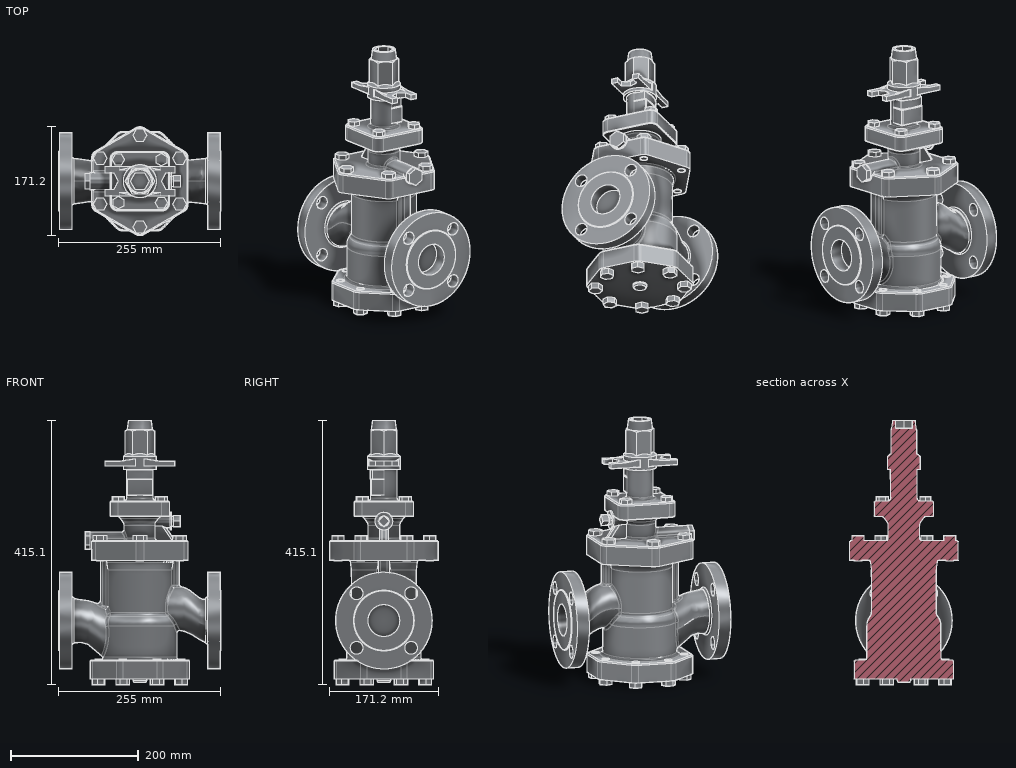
import cadquery as cq
import math


INLET_SIDE = -1
OUTLET_SIDE = 1
FACE_TO_FACE = 255.0
FLANGE_DIA = 152.0
FLANGE_THICKNESS = 21.0
FACE_DIA = 95.49
FACE_HEIGHT = 1.3
FACE_CHAMFER = 1.0
FLANGE_HOLE_DIA = 20.0
FLANGE_HOLE_COUNT = 4
FLANGE_PITCH_RADIUS = 60.5
BORE_DIA = 50.0
BORE_DEPTH = FLANGE_THICKNESS
FLANGE_BACK_X = FACE_TO_FACE / 2 - FLANGE_THICKNESS
PORT_ROOT_RADIUS = 3.5
INLET_SEAM_FILLET = 5.0
OUTLET_SEAM_FILLET = 4.0
PORT_SEAM_REACH = 8.0
INLET_SECTIONS = [
    (FLANGE_BACK_X, 0.5, 36.0, 35.5),
    (95.0, -0.7, 35.0, 34.0),
    (82.0, -3.0, 33.0, 34.5),
    (68.0, -11.0, 31.0, 38.0),
    (52.0, -19.5, 30.0, 39.5),
    (30.0, -19.0, 26.0, 34.0),
]
OUTLET_SECTIONS = [
    (FLANGE_BACK_X, -0.5, 36.0, 35.5),
    (95.0, 2.0, 35.0, 33.0),
    (85.0, 9.0, 34.0, 33.5),
    (72.0, 16.5, 33.0, 34.5),
    (57.0, 19.5, 32.0, 34.5),
    (30.0, 20.0, 28.0, 32.0),
]

COVER_BOTTOM_Z = -92.0
COVER_TOP_Z = -61.6
COVER_ACROSS_FLATS = 156.5
COVER_SIDES = 8
COVER_CORNER_RADIUS = 14.0
COVER_PITCH_RADIUS = 70.0
COVER_BOLT_ANGLE = 22.5
BOLT_ACROSS_FLATS = 19.0
COVER_BOLT_HEIGHT = 9.0
STUD_DIA = 12.0
STUD_HEIGHT = 1.0
PLUG_TOP_RADIUS = 11.0
PLUG_BOTTOM_RADIUS = 9.5
PLUG_HEIGHT = 5.0
PLUG_RIM_HEIGHT = 2.0

PART_OVERLAP = 5.0
LOWER_BODY_RADIUS = 58.3
UPPER_BODY_RADIUS = 51.2
BODY_TOP_RADIUS = 52.7
LOWER_FOOT_Z = -57.5
SHOULDER_BOTTOM_Z = -8.4
SHOULDER_TOP_Z = 13.0
SHOULDER_CREST = (56.3, 1.8)
SHOULDER_JOIN = (53.4, 6.6)
SHOULDER_HOLLOW = (51.8, 9.2)
BODY_FLARE_Z = 79.4
BODY_HEAD_Z = 91.5
BODY_HEAD_FILLET = 3.0
CHANNEL_OUTER_X = 62.0
CHANNEL_INNER_X = 35.0
CHANNEL_WIDTH = 17.5
CHANNEL_EDGE_RADIUS = 3.7
CHANNEL_ROOT_FILLET = 3.5
INLET_CHANNEL_BOTTOM_Z = 10.0
OUTLET_CHANNEL_BOTTOM_Z = 40.0

HEAD_BOTTOM_Z = 94.4
HEAD_TOP_Z = 125.8
HEAD_ACROSS_FLATS = 151.5
HEAD_WIDTH_Y = 171.16
HEAD_SIDES = 6
HEAD_BOLT_ANGLE = 30.0
HEX_CORNER_RATIO = 1 / math.cos(math.pi / 6)
HEAD_CORNER_RADIUS = (HEAD_ACROSS_FLATS * HEX_CORNER_RATIO - HEAD_WIDTH_Y) / 2 / (HEX_CORNER_RATIO - 1)
HEAD_PITCH_RADIUS = 72.0
HEAD_BOLT_HEIGHT = 7.4
PLATE_CHAMFER = 2.0

NECK_RADIUS = 25.0
NECK_FOOT_FILLET = 3.4
NECK_FLARE_Z = 149.0
NECK_FLARE_MIDDLE = (25.5, 152.0)
NECK_FLARE_END_RADIUS = 27.0
NECK_FLARE_END_Z = 154.8
NECK_STEP_RADIUS = 30.8
NECK_STEP_Z = 160.2
NECK_TOP_RADIUS = 33.5

PAD_BOTTOM_Z = 163.1
PAD_TOP_Z = 187.9
PAD_SIZE = 93.5
PAD_CORNER_RADIUS = 12.5
PAD_BOLT_OFFSET = 33.75
PAD_BOLT_ACROSS_FLATS = 17.0
PAD_BOLT_HEIGHT = 6.7

TUBE_DIA = 27.0
TUBE_AXIS_Z = 125.5
TUBE_END_X = -78.0
TUBE_FILLET = 4.0
TUBE_HEAD_ACROSS_FLATS = 24.2
TUBE_HEAD_LENGTH = 7.8
BOSS_AXIS_Z = 156.0
BOSS_RADIUS = 10.5
BOSS_END_X = 49.5
COLLAR_DIA = 28.0
COLLAR_LENGTH = 2.5
PLUG_NECK_RADIUS = 8.0
PLUG_SQUARE_DIAGONAL = 17.8
PLUG_SQUARE_X = 52.5
PLUG_END_X = 63.7
WEB_WIDTH = 14.0
WEB_FOOT_X = 55.0
WEB_TOP_X = 34.5
WEB_EDGE_CHAMFER = 3.7

COLUMN_DIA = 42.0
COLUMN_FOOT_FILLET = 4.5
BLOCK_DEPTH = 21.0
BLOCK_BOTTOM_Z = 196.0
BLOCK_TOP_Z = 222.5
BLOCK_EDGE_CHAMFER = 1.3
BAND_TOP_Z = 236.0
BAND_CORNER_DEPTH = 18.0
BAND_CROWN_DEPTH = 21.5
HUB_BOTTOM_Z = 237.0
HUB_RADIUS = 26.0
HUB_RIM_Z = 257.6
HEX_ACROSS_CORNERS = 46.94
HEX_ACROSS_FLATS = HEX_ACROSS_CORNERS / HEX_CORNER_RATIO
HEX_BOTTOM_Z = 262.2
HEX_TOP_Z = 299.5
HEX_END_DROP = 2.0
TIP_BOTTOM_RADIUS = 20.0
TIP_TOP_RADIUS = 18.0
TIP_TOP_Z = 314.1
SOCKET_ACROSS_FLATS = 26.0
SOCKET_DEPTH = 12.0

HANDLE_HALF_LENGTH = 54.8
HANDLE_HALF_WIDTH = 23.2
HANDLE_BOTTOM_Z = 242.2
HANDLE_TOP_Z = 250.2
HANDLE_GAP = 13.6
NOTCH_HALF_WIDTH = 12.9
NOTCH_SHOULDER_X = 40.6
NOTCH_TIP_X = 34.0
GUSSET_END_X = 32.0
GUSSET_WIDTH = 5.5
GUSSET_HEIGHT = 3.6


def polygon_prism(across_flats, sides, bottom_z, height, turn=0.0):
    """Upright regular prism; with turn = 0 one corner points along +X."""
    across_corners = across_flats / math.cos(math.pi / sides)
    prism = cq.Workplane("XY").polygon(sides, across_corners).extrude(height)
    return prism.rotate((0, 0, 0), (0, 0, 1), turn).translate((0, 0, bottom_z))


def disc(radius, bottom_z, top_z):
    return cq.Workplane("XY", origin=(0, 0, bottom_z)).circle(radius).extrude(top_z - bottom_z)


def rod_x(radius, start_x, end_x, axis_z):
    return cq.Workplane("YZ", origin=(start_x, 0, axis_z)).circle(radius).extrude(end_x - start_x)


def ring_points(radius, count, first_angle):
    angles = [math.radians(first_angle + i * 360 / count) for i in range(count)]
    return [(radius * math.cos(a), radius * math.sin(a)) for a in angles]


def bolt_ring(pitch_radius, count, first_angle, across_flats, bottom_z, height, turn):
    """Ring of hexagon heads, each one turned along with its place on the ring."""
    heads = cq.Workplane("XY")
    for i in range(count):
        head = polygon_prism(across_flats, 6, bottom_z, height, turn)
        head = head.translate((pitch_radius, 0, 0))
        heads = heads.add(head.rotate((0, 0, 0), (0, 0, 1), first_angle + i * 360 / count))
    return heads.combine()


def stud_ends(pitch_radius, count, first_angle, bottom_z):
    points = ring_points(pitch_radius, count, first_angle)
    plane = cq.Workplane("XY", origin=(0, 0, bottom_z))
    return plane.pushPoints(points).circle(STUD_DIA / 2).extrude(STUD_HEIGHT)


def pipe_flange(side):
    """Pipe flange with raised face; side is the sign of its X position."""
    face_x = side * FACE_TO_FACE / 2
    rim_x = side * (FACE_TO_FACE / 2 - FACE_HEIGHT)
    flange = rod_x(FLANGE_DIA / 2, side * FLANGE_BACK_X, rim_x, 0)
    raised_face = rod_x(FACE_DIA / 2, side * FLANGE_BACK_X, face_x, 0)
    face_side = ">X" if side > 0 else "<X"
    flange = flange.union(raised_face.faces(face_side).edges().chamfer(FACE_CHAMFER))
    for y, z in ring_points(FLANGE_PITCH_RADIUS, FLANGE_HOLE_COUNT, 45):
        hole = rod_x(FLANGE_HOLE_DIA / 2, side * FLANGE_BACK_X, face_x, z)
        flange = flange.cut(hole.translate((0, y, 0)))
    return flange


def port(side, sections):
    """Bent nozzle that runs through a row of elliptical sections."""
    wires = [
        cq.Wire.makeEllipse(half_y, half_z, cq.Vector(side * x, 0, z), cq.Vector(1, 0, 0), cq.Vector(0, 1, 0))
        for x, z, half_y, half_z in sections
    ]
    return cq.Workplane(cq.Solid.makeLoft(wires))


def port_root(side, section):
    """Conical collar where a nozzle leaves its flange."""
    x, z, half_y, half_z = section
    collar = cq.Solid.makeCone(
        half_y + PORT_ROOT_RADIUS / 2,
        half_z,
        PORT_ROOT_RADIUS,
        cq.Vector(side * x, 0, 0),
        cq.Vector(-side, 0, 0),
    )
    return cq.Workplane(collar)


def body_barrel():
    """Turned body: wide lower barrel, rounded shoulder and slimmer upper barrel."""
    head_radius = BODY_TOP_RADIUS + BODY_HEAD_FILLET
    profile = (
        cq.Workplane("YZ")
        .moveTo(0, COVER_TOP_Z - PART_OVERLAP)
        .lineTo(LOWER_BODY_RADIUS, COVER_TOP_Z - PART_OVERLAP)
        .lineTo(LOWER_BODY_RADIUS, SHOULDER_BOTTOM_Z)
        .threePointArc(SHOULDER_CREST, SHOULDER_JOIN)
        .threePointArc(SHOULDER_HOLLOW, (UPPER_BODY_RADIUS, SHOULDER_TOP_Z))
        .lineTo(UPPER_BODY_RADIUS, BODY_FLARE_Z)
        .lineTo(BODY_TOP_RADIUS, BODY_HEAD_Z)
        .radiusArc((head_radius, HEAD_BOTTOM_Z), BODY_HEAD_FILLET)
        .lineTo(head_radius, HEAD_BOTTOM_Z + PART_OVERLAP)
        .lineTo(0, HEAD_BOTTOM_Z + PART_OVERLAP)
        .close()
    )
    return profile.revolve(360, (0, 0), (0, 1))


def body_foot():
    """Filleted foot where the lower barrel stands on the bottom cover."""
    fillet = LOWER_FOOT_Z - COVER_TOP_Z
    foot_radius = LOWER_BODY_RADIUS + fillet
    profile = (
        cq.Workplane("YZ")
        .moveTo(0, COVER_TOP_Z - PART_OVERLAP)
        .lineTo(foot_radius, COVER_TOP_Z - PART_OVERLAP)
        .lineTo(foot_radius, COVER_TOP_Z)
        .radiusArc((LOWER_BODY_RADIUS, LOWER_FOOT_Z), fillet)
        .lineTo(0, LOWER_FOOT_Z)
        .close()
    )
    return profile.revolve(360, (0, 0), (0, 1))


def body_with_channels():
    """Barrel with both channels, filleted along their roots."""
    barrel = body_barrel()
    barrel = barrel.union(channel(INLET_SIDE, INLET_CHANNEL_BOTTOM_Z))
    barrel = barrel.union(channel(OUTLET_SIDE, OUTLET_CHANNEL_BOTTOM_Z))
    for root_x in (-UPPER_BODY_RADIUS, UPPER_BODY_RADIUS):
        root_box = cq.selectors.BoxSelector(
            (root_x - CHANNEL_EDGE_RADIUS, -CHANNEL_WIDTH, 0),
            (root_x + CHANNEL_EDGE_RADIUS, CHANNEL_WIDTH, BODY_FLARE_Z),
        )
        barrel = barrel.edges("|Z").edges(root_box).fillet(CHANNEL_ROOT_FILLET)
    return barrel


def add_port(barrel, side, sections, seam_fillet):
    """Join a nozzle to the barrel and fillet the curve where they meet."""
    joined = barrel.union(port(side, sections))
    inner_x = side * sections[-1][0]
    outer_x = side * (LOWER_BODY_RADIUS + PORT_SEAM_REACH)
    seam_box = cq.selectors.BoxSelector(
        (inner_x, -LOWER_BODY_RADIUS, COVER_TOP_Z), (outer_x, LOWER_BODY_RADIUS, BODY_FLARE_Z)
    )
    return joined.edges("%BSPLINE").edges(seam_box).fillet(seam_fillet)


def channel(side, bottom_z):
    """Upright pressure channel on the flank of the upper barrel."""
    height = HEAD_BOTTOM_Z + PART_OVERLAP - bottom_z
    plan = cq.Workplane("XY", origin=(CHANNEL_INNER_X, 0, 0))
    block = plan.box(CHANNEL_OUTER_X - CHANNEL_INNER_X, CHANNEL_WIDTH, height, centered=(False, True, False))
    block = block.edges("|Z and >X").fillet(CHANNEL_EDGE_RADIUS)
    if side < 0:
        block = block.rotate((0, 0, 0), (0, 0, 1), 180)
    return block.translate((0, 0, bottom_z))


def bottom_cover():
    plate = polygon_prism(
        COVER_ACROSS_FLATS, COVER_SIDES, COVER_BOTTOM_Z, COVER_TOP_Z - COVER_BOTTOM_Z, COVER_BOLT_ANGLE
    )
    plate = plate.edges("|Z").fillet(COVER_CORNER_RADIUS)
    plate = plate.faces(">Z").edges().chamfer(PLATE_CHAMFER)
    plug_rim_z = COVER_BOTTOM_Z - PLUG_RIM_HEIGHT
    plug_tip = cq.Solid.makeCone(
        PLUG_TOP_RADIUS,
        PLUG_BOTTOM_RADIUS,
        PLUG_HEIGHT - PLUG_RIM_HEIGHT,
        cq.Vector(0, 0, plug_rim_z),
        cq.Vector(0, 0, -1),
    )
    plug = disc(PLUG_TOP_RADIUS, plug_rim_z, COVER_BOTTOM_Z).union(cq.Workplane(plug_tip))
    bolts = bolt_ring(
        COVER_PITCH_RADIUS,
        COVER_SIDES,
        COVER_BOLT_ANGLE,
        BOLT_ACROSS_FLATS,
        COVER_BOTTOM_Z - COVER_BOLT_HEIGHT,
        COVER_BOLT_HEIGHT,
        0,
    )
    studs = stud_ends(COVER_PITCH_RADIUS, COVER_SIDES, COVER_BOLT_ANGLE, COVER_TOP_Z)
    return plate.union(plug).union(bolts).union(studs)


def upper_flange():
    height = HEAD_TOP_Z - HEAD_BOTTOM_Z
    plate = polygon_prism(HEAD_ACROSS_FLATS, HEAD_SIDES, HEAD_BOTTOM_Z, height, HEAD_BOLT_ANGLE)
    plate = plate.edges("|Z").fillet(HEAD_CORNER_RADIUS)
    return plate.faces(">Z").edges().chamfer(PLATE_CHAMFER)


def upper_flange_bolts():
    heads = bolt_ring(
        HEAD_PITCH_RADIUS,
        HEAD_SIDES,
        HEAD_BOLT_ANGLE,
        BOLT_ACROSS_FLATS,
        HEAD_TOP_Z,
        HEAD_BOLT_HEIGHT,
        HEAD_BOLT_ANGLE,
    )
    studs = stud_ends(HEAD_PITCH_RADIUS, HEAD_SIDES, HEAD_BOLT_ANGLE, HEAD_BOTTOM_Z - STUD_HEIGHT)
    return heads.union(studs)


def neck():
    """Turned neck with a filleted foot and a stepped flare under the spindle flange."""
    foot_radius = NECK_RADIUS + NECK_FOOT_FILLET
    profile = (
        cq.Workplane("XZ")
        .moveTo(0, HEAD_TOP_Z)
        .lineTo(foot_radius, HEAD_TOP_Z)
        .radiusArc((NECK_RADIUS, HEAD_TOP_Z + NECK_FOOT_FILLET), NECK_FOOT_FILLET)
        .lineTo(NECK_RADIUS, NECK_FLARE_Z)
        .threePointArc(NECK_FLARE_MIDDLE, (NECK_FLARE_END_RADIUS, NECK_FLARE_END_Z))
        .lineTo(NECK_STEP_RADIUS, NECK_STEP_Z)
        .lineTo(NECK_TOP_RADIUS, PAD_BOTTOM_Z)
        .lineTo(0, PAD_BOTTOM_Z)
        .close()
    )
    return profile.revolve(360, (0, 0), (0, 1))


def bonnet_casting():
    """Upper flange and neck with the inlet-side tube, filleted along the tube and round onto the neck."""
    casting = upper_flange().union(neck())
    casting = casting.union(rod_x(TUBE_DIA / 2, TUBE_END_X, 0, TUBE_AXIS_Z))
    tube_box = cq.selectors.BoxSelector(
        (TUBE_END_X, -TUBE_DIA / 2, HEAD_TOP_Z - PLATE_CHAMFER),
        (0, TUBE_DIA / 2, HEAD_TOP_Z + PLATE_CHAMFER),
    )
    return casting.edges("|X").edges(tube_box).fillet(TUBE_FILLET)


def inlet_side_plug():
    """Hexagon head on the tube, one corner up."""
    head = polygon_prism(TUBE_HEAD_ACROSS_FLATS, 6, 0, TUBE_HEAD_LENGTH)
    head = head.rotate((0, 0, 0), (0, 1, 0), -90)
    return head.translate((TUBE_END_X, 0, TUBE_AXIS_Z))


def outlet_side_boss():
    """Boss with collar and square plug, carried by a web that stands on the upper flange."""
    boss = rod_x(BOSS_RADIUS, 0, BOSS_END_X, BOSS_AXIS_Z)
    boss = boss.union(rod_x(COLLAR_DIA / 2, BOSS_END_X - COLLAR_LENGTH, BOSS_END_X, BOSS_AXIS_Z))
    boss = boss.union(rod_x(PLUG_NECK_RADIUS, BOSS_END_X, PLUG_SQUARE_X, BOSS_AXIS_Z))
    square = cq.Workplane("YZ", origin=(PLUG_SQUARE_X, 0, BOSS_AXIS_Z))
    boss = boss.union(square.polygon(4, PLUG_SQUARE_DIAGONAL).extrude(PLUG_END_X - PLUG_SQUARE_X))
    web = (
        cq.Workplane("XZ", origin=(0, WEB_WIDTH / 2, 0))
        .polyline([(0, HEAD_TOP_Z), (WEB_FOOT_X, HEAD_TOP_Z), (WEB_TOP_X, BOSS_AXIS_Z), (0, BOSS_AXIS_Z)])
        .close()
        .extrude(WEB_WIDTH)
    )
    web = web.faces(">X").edges("not |Y").chamfer(WEB_EDGE_CHAMFER)
    return boss.union(web)


def spindle_flange():
    height = PAD_TOP_Z - PAD_BOTTOM_Z
    plate = cq.Workplane("XY").box(PAD_SIZE, PAD_SIZE, height, centered=(True, True, False))
    plate = plate.edges("|Z").fillet(PAD_CORNER_RADIUS)
    plate = plate.faces(">Z").edges().chamfer(PLATE_CHAMFER)
    plate = plate.faces("<Z").edges().chamfer(PLATE_CHAMFER / 2)
    plate = plate.translate((0, 0, PAD_BOTTOM_Z))
    pitch_radius = PAD_BOLT_OFFSET * math.sqrt(2)
    bolts = bolt_ring(pitch_radius, 4, 45, PAD_BOLT_ACROSS_FLATS, PAD_TOP_Z, PAD_BOLT_HEIGHT, 45)
    return plate.union(bolts)


def column():
    """Round spindle column with a flat-fronted block and a crowned band on its -Y side."""
    radius = COLUMN_DIA / 2
    foot_radius = radius + COLUMN_FOOT_FILLET
    round_part = (
        cq.Workplane("XZ")
        .moveTo(0, PAD_TOP_Z)
        .lineTo(foot_radius, PAD_TOP_Z)
        .radiusArc((radius, PAD_TOP_Z + COLUMN_FOOT_FILLET), COLUMN_FOOT_FILLET)
        .lineTo(radius, HUB_BOTTOM_Z)
        .lineTo(0, HUB_BOTTOM_Z)
        .close()
        .revolve(360, (0, 0), (0, 1))
    )
    block = (
        cq.Workplane("XY", origin=(0, -BLOCK_DEPTH / 2, BLOCK_BOTTOM_Z))
        .box(COLUMN_DIA, BLOCK_DEPTH, BLOCK_TOP_Z - BLOCK_BOTTOM_Z, centered=(True, True, False))
        .edges("<Y or |Y")
        .chamfer(BLOCK_EDGE_CHAMFER)
    )
    band = (
        cq.Workplane("XY", origin=(0, 0, BLOCK_TOP_Z))
        .moveTo(-radius, 0)
        .lineTo(-radius, -BAND_CORNER_DEPTH)
        .threePointArc((0, -BAND_CROWN_DEPTH), (radius, -BAND_CORNER_DEPTH))
        .lineTo(radius, 0)
        .close()
        .extrude(BAND_TOP_Z - BLOCK_TOP_Z)
    )
    return round_part.union(block).union(band)


def handle_hub():
    """Round hub with a conical top and four flats that seat the handle edges."""
    profile = cq.Workplane("YZ").polyline(
        [
            (0, HUB_BOTTOM_Z),
            (HUB_RADIUS, HUB_BOTTOM_Z),
            (HUB_RADIUS, HUB_RIM_Z),
            (HEX_ACROSS_FLATS / 2, HEX_BOTTOM_Z),
            (0, HEX_BOTTOM_Z),
        ]
    )
    hub = profile.close().revolve(360, (0, 0), (0, 1))
    seat_centre_x = (HANDLE_GAP / 2 + HUB_RADIUS) / 2
    seat_centre_y = HANDLE_HALF_WIDTH + HUB_RADIUS / 2
    seats = (
        cq.Workplane("XY", origin=(0, 0, HANDLE_BOTTOM_Z))
        .rect(2 * seat_centre_x, 2 * seat_centre_y, forConstruction=True)
        .vertices()
        .rect(HUB_RADIUS - HANDLE_GAP / 2, HUB_RADIUS)
        .extrude(HANDLE_TOP_Z + GUSSET_HEIGHT - HANDLE_BOTTOM_Z)
    )
    return hub.cut(seats)


def handle_gusset():
    """Wedge on the +Y edge of the handle that falls away outwards and towards the middle."""
    peak_z = HANDLE_TOP_Z + GUSSET_HEIGHT
    along = (
        cq.Workplane("XZ")
        .polyline(
            [
                (0, HANDLE_BOTTOM_Z),
                (GUSSET_END_X, HANDLE_BOTTOM_Z),
                (GUSSET_END_X, HANDLE_TOP_Z),
                (HANDLE_GAP / 2, peak_z),
                (0, peak_z),
            ]
        )
        .close()
        .extrude(-HANDLE_HALF_WIDTH)
    )
    inner_y = HANDLE_HALF_WIDTH - GUSSET_WIDTH
    across = (
        cq.Workplane("YZ", origin=(HANDLE_GAP / 2, 0, 0))
        .polyline(
            [
                (inner_y, HANDLE_BOTTOM_Z),
                (HANDLE_HALF_WIDTH, HANDLE_BOTTOM_Z),
                (HANDLE_HALF_WIDTH, peak_z),
                (inner_y, HANDLE_TOP_Z),
            ]
        )
        .close()
        .extrude(GUSSET_END_X - HANDLE_GAP / 2)
    )
    return along.intersect(across)


def fork():
    """The +X half of the handle: a plate with a pointed notch and gussets along both edges."""
    plate = (
        cq.Workplane("XY", origin=(0, 0, HANDLE_BOTTOM_Z))
        .polyline(
            [
                (HANDLE_GAP / 2, -HANDLE_HALF_WIDTH),
                (HANDLE_HALF_LENGTH, -HANDLE_HALF_WIDTH),
                (HANDLE_HALF_LENGTH, -NOTCH_HALF_WIDTH),
                (NOTCH_SHOULDER_X, -NOTCH_HALF_WIDTH),
                (NOTCH_TIP_X, 0),
                (NOTCH_SHOULDER_X, NOTCH_HALF_WIDTH),
                (HANDLE_HALF_LENGTH, NOTCH_HALF_WIDTH),
                (HANDLE_HALF_LENGTH, HANDLE_HALF_WIDTH),
                (HANDLE_GAP / 2, HANDLE_HALF_WIDTH),
            ]
        )
        .close()
        .extrude(HANDLE_TOP_Z - HANDLE_BOTTOM_Z)
    )
    gusset = handle_gusset()
    return plate.union(gusset).union(gusset.mirror("XZ"))


def adjusting_nut():
    """Long hexagon with bevelled upper corners, conical tip and hexagon socket."""
    hexagon = polygon_prism(HEX_ACROSS_FLATS, 6, HUB_RIM_Z, HEX_TOP_Z - HUB_RIM_Z)
    corner_radius = HEX_ACROSS_CORNERS / 2
    envelope = (
        cq.Workplane("XZ")
        .polyline(
            [
                (0, HUB_RIM_Z),
                (corner_radius, HUB_RIM_Z),
                (corner_radius, HEX_TOP_Z - HEX_END_DROP),
                (TIP_BOTTOM_RADIUS, HEX_TOP_Z),
                (0, HEX_TOP_Z),
            ]
        )
        .close()
        .revolve(360, (0, 0), (0, 1))
    )
    tip = cq.Solid.makeCone(
        TIP_BOTTOM_RADIUS,
        TIP_TOP_RADIUS,
        TIP_TOP_Z - HEX_TOP_Z,
        cq.Vector(0, 0, HEX_TOP_Z),
        cq.Vector(0, 0, 1),
    )
    socket = polygon_prism(SOCKET_ACROSS_FLATS, 6, TIP_TOP_Z - SOCKET_DEPTH, SOCKET_DEPTH)
    return hexagon.intersect(envelope).union(cq.Workplane(tip)).cut(socket)


body = body_with_channels()
for flange_side, port_sections, seam_radius in (
    (INLET_SIDE, INLET_SECTIONS, INLET_SEAM_FILLET),
    (OUTLET_SIDE, OUTLET_SECTIONS, OUTLET_SEAM_FILLET),
):
    body = add_port(body, flange_side, port_sections, seam_radius)
    body = body.union(port_root(flange_side, port_sections[0]))
    body = body.union(pipe_flange(flange_side))
    body = body.cut(
        rod_x(BORE_DIA / 2, flange_side * (FACE_TO_FACE / 2 - BORE_DEPTH), flange_side * FACE_TO_FACE / 2, 0)
    )

bonnet = bonnet_casting().union(inlet_side_plug()).union(outlet_side_boss()).union(upper_flange_bolts())

spindle = spindle_flange().union(column()).union(handle_hub())
spindle = spindle.union(fork()).union(fork().mirror("YZ")).union(adjusting_nut())

result = body.union(body_foot()).union(bottom_cover()).union(bonnet).union(spindle)